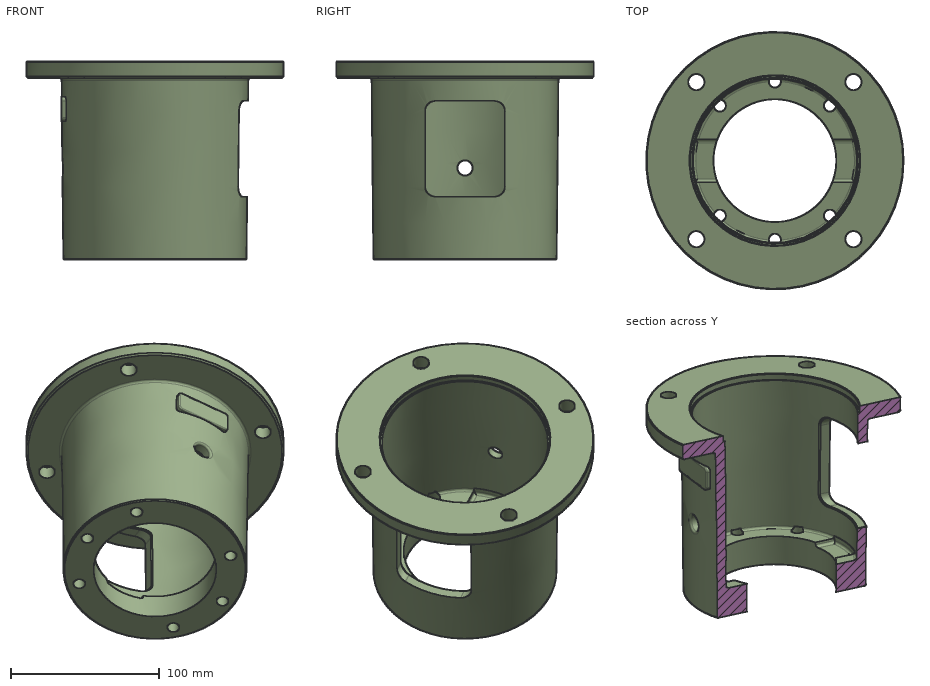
import cadquery as cq
import math

height = 133.4
flange_radius = 86.5
flange_thickness = 11.2
flange_top_chamfer = 0.5
flange_bottom_chamfer = 1.2
flange_hole_radius = 5.4
flange_hole_circle = 74.5

body_top_radius = 62.8
body_bottom_radius = 61.5
body_end_chamfer = 0.9
neck_radius = 1.5

pilot_radius = 56.9
pilot_depth = 4.5
pilot_chamfer = 0.5
cavity_top_radius = 55.7
cavity_floor_radius = 55.0
cavity_fillet = 1.7
floor_thickness = 20.8
center_bore_radius = 41.2

channel_top_width = 28.9
channel_bottom_width = 27.8
channel_depth = 3.1
channel_fillet = 2.0

floor_hole_radius = 4.0
four_hole_circle = 52.2
two_hole_circle = 53.1

window_bottom = 42.5
window_top = 106.7
window_width = 53.6
window_corner_radius = 7.0
window_inner_chamfer = 0.7

side_hole_height = 61.8
side_hole_outer_radius = 5.9
side_hole_inner_radius = 5.0
side_hole_mouth_fillet = 1.5

plate_width = 38.7
plate_height = 16.6
plate_middle = 101.4
plate_corner_radius = 2.8
plate_face_fillet = 0.9
plate_face = 63.0
plate_root = 58.8

flange_bottom = height - flange_thickness
pilot_floor = height - pilot_depth
channel_floor = floor_thickness - channel_depth


def revolve_about_z(profile):
    return profile.close().revolve(360, (0, 0), (0, 1))


def make_flange():
    return (
        cq.Workplane("XY", origin=(0, 0, flange_bottom))
        .circle(flange_radius)
        .extrude(flange_thickness)
        .faces(">Z")
        .chamfer(flange_top_chamfer)
        .faces("<Z")
        .chamfer(flange_bottom_chamfer)
    )


def make_tube():
    """Tapered tube, solid inside, flaring into the flange through a round neck."""
    arc_middle = neck_radius * (1 - math.cos(math.pi / 4))
    profile = (
        cq.Workplane("XZ")
        .lineTo(body_bottom_radius - body_end_chamfer, 0)
        .lineTo(body_bottom_radius, body_end_chamfer)
        .lineTo(body_top_radius, flange_bottom - neck_radius)
        .threePointArc(
            (body_top_radius + arc_middle, flange_bottom - arc_middle),
            (body_top_radius + neck_radius, flange_bottom),
        )
        .lineTo(0, flange_bottom)
    )
    return revolve_about_z(profile)


def make_pilot():
    """Recess in the flange face, with a chamfered rim."""
    profile = (
        cq.Workplane("XZ", origin=(0, 0, pilot_floor))
        .lineTo(pilot_radius, 0)
        .lineTo(pilot_radius, pilot_depth - pilot_chamfer)
        .lineTo(pilot_radius + pilot_chamfer, pilot_depth)
        .lineTo(0, pilot_depth)
    )
    return revolve_about_z(profile)


def make_cavity(floor):
    """Tapered cavity that rounds into a flat floor at the given height."""
    profile = (
        cq.Workplane("XZ", origin=(0, 0, floor))
        .lineTo(cavity_floor_radius, 0)
        .lineTo(cavity_top_radius, pilot_floor - floor)
        .lineTo(0, pilot_floor - floor)
    )
    return revolve_about_z(profile).faces("<Z").edges().fillet(cavity_fillet)


def make_channel():
    """Drafted channel with round bottom corners, ending at the cavity wall."""
    half_top = channel_top_width / 2
    half_bottom = channel_bottom_width / 2
    bar = (
        cq.Workplane("YZ", origin=(-flange_radius, 0, 0))
        .moveTo(-half_bottom, channel_floor)
        .lineTo(half_bottom, channel_floor)
        .lineTo(half_top, floor_thickness)
        .lineTo(half_top, floor_thickness + cavity_fillet)
        .lineTo(-half_top, floor_thickness + cavity_fillet)
        .lineTo(-half_top, floor_thickness)
        .close()
        .extrude(2 * flange_radius)
        .faces("<Z")
        .edges("|X")
        .fillet(channel_fillet)
    )
    return bar.intersect(make_cavity(channel_floor))


def make_hole_ring(bottom, depth, hole_radius, circle_radius, start_angle, count):
    return (
        cq.Workplane("XY", origin=(0, 0, bottom))
        .polarArray(circle_radius, start_angle, 360, count)
        .circle(hole_radius)
        .extrude(depth)
    )


def make_window():
    return (
        cq.Workplane("YZ", origin=(0, 0, (window_bottom + window_top) / 2))
        .rect(window_width, window_top - window_bottom)
        .extrude(flange_radius)
        .edges("|X")
        .fillet(window_corner_radius)
    )


def make_plate():
    """Rounded rectangular pad rooted in the tube wall, with a rounded face edge."""
    return (
        cq.Workplane("YZ", origin=(-plate_root, 0, plate_middle))
        .rect(plate_width, plate_height)
        .extrude(plate_root - plate_face)
        .edges("|X")
        .fillet(plate_corner_radius)
        .faces("<X")
        .edges()
        .fillet(plate_face_fillet)
    )


def make_side_hole():
    """Round hole along X that widens from the cavity wall outward."""
    profile = (
        cq.Workplane("XY", origin=(0, 0, side_hole_height))
        .moveTo(-center_bore_radius, 0)
        .lineTo(-center_bore_radius, side_hole_inner_radius)
        .lineTo(-cavity_floor_radius, side_hole_inner_radius)
        .lineTo(-body_top_radius, side_hole_outer_radius)
        .lineTo(-body_top_radius, 0)
        .close()
    )
    return profile.revolve(360, (0, 0), (1, 0))


result = make_flange().union(make_tube())
bore = cq.Workplane("XY").circle(center_bore_radius).extrude(height)
for cutter in (make_pilot(), make_cavity(floor_thickness), make_channel(), bore):
    result = result.cut(cutter)

result = result.cut(make_window())
inner_opening = cq.selectors.BoxSelector(
    (center_bore_radius, -window_width, window_bottom - window_inner_chamfer),
    (cavity_top_radius, window_width, window_top + window_inner_chamfer),
)
through_edges = cq.selectors.ParallelDirSelector(cq.Vector(1, 0, 0))
result = result.edges(inner_opening - through_edges).chamfer(window_inner_chamfer)

result = result.cut(make_side_hole())
mouth_top = (-body_top_radius, 0, side_hole_height + side_hole_outer_radius)
mouth_edge = cq.selectors.NearestToPointSelector(mouth_top)
result = result.edges(mouth_edge).fillet(side_hole_mouth_fillet)

floor_hole_depth = floor_thickness + cavity_fillet
hole_rings = (
    make_hole_ring(flange_bottom, flange_thickness, flange_hole_radius, flange_hole_circle, 45, 4),
    make_hole_ring(0, floor_hole_depth, floor_hole_radius, four_hole_circle, 45, 4),
    make_hole_ring(0, floor_hole_depth, floor_hole_radius, two_hole_circle, 90, 2),
)
for ring in hole_rings:
    result = result.cut(ring)

result = result.union(make_plate())